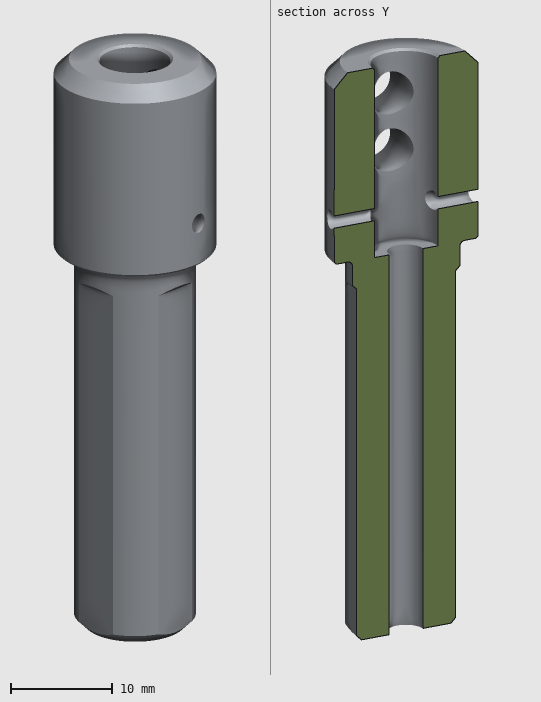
import cadquery as cq

total_length = 60.0
head_radius = 8.01
head_bottom = 40.0
head_top_chamfer = 1.5
head_bottom_chamfer = 0.25
shank_radius = 6.0
shank_end_chamfer = 1.0
neck_fillet = 0.5

flat_distance = 5.5
flat_top = 37.0
flat_cut_depth = 1.2
flat_cut_width = 2 * shank_radius

bore_radius = 7.0 / 2
bore_depth = total_length - head_bottom
bore_chamfer = 0.25
through_radius = 3.7 / 2

pin_diameter = 2.0
pin_offset_y = 0.8
pin_height = 44.5

screw_diameter = 4.5
screw_heights = (55.5, 49.5)


def make_body():
    """Revolve the head and shank with their chamfers and neck fillet."""
    neck_bottom = head_bottom - neck_fillet
    return (
        cq.Workplane("XZ")
        .lineTo(shank_radius - shank_end_chamfer, 0)
        .lineTo(shank_radius, shank_end_chamfer)
        .lineTo(shank_radius, neck_bottom)
        .radiusArc((shank_radius + neck_fillet, head_bottom), neck_fillet)
        .lineTo(head_radius - head_bottom_chamfer, head_bottom)
        .lineTo(head_radius, head_bottom + head_bottom_chamfer)
        .lineTo(head_radius, total_length - head_top_chamfer)
        .lineTo(head_radius - head_top_chamfer, total_length)
        .lineTo(0, total_length)
        .close()
        .revolve(360, (0, 0, 0), (0, 1, 0))
    )


def make_flat_cutter():
    """Material outside the +X flat, sloped at its upper end."""
    outer = flat_distance + flat_cut_depth
    return (
        cq.Workplane("XZ")
        .moveTo(flat_distance, 0)
        .lineTo(outer, 0)
        .lineTo(outer, flat_top + flat_cut_depth)
        .lineTo(flat_distance, flat_top)
        .close()
        .extrude(flat_cut_width / 2, both=True)
    )


def make_bore():
    """Chamfered blind bore followed by a smaller hole through the shank."""
    bore_bottom = total_length - bore_depth
    return (
        cq.Workplane("XZ")
        .lineTo(through_radius, 0)
        .lineTo(through_radius, bore_bottom)
        .lineTo(bore_radius, bore_bottom)
        .lineTo(bore_radius, total_length - bore_chamfer)
        .lineTo(bore_radius + bore_chamfer, total_length)
        .lineTo(0, total_length)
        .close()
        .revolve(360, (0, 0, 0), (0, 1, 0))
    )


def make_pin_hole():
    """Pin hole crossing the whole head, beside the axis."""
    return (
        cq.Workplane("YZ")
        .center(pin_offset_y, pin_height)
        .circle(pin_diameter / 2)
        .extrude(head_radius, both=True)
    )


def make_screw_hole(height):
    """Radial hole from the +Y side of the head to the bore axis."""
    return (
        cq.Workplane("XZ")
        .center(0, height)
        .circle(screw_diameter / 2)
        .extrude(-head_radius)
    )


result = make_body()
flat_cutter = make_flat_cutter()
for angle in (0, 90, 180, 270):
    result = result.cut(flat_cutter.rotate((0, 0, 0), (0, 0, 1), angle))
result = result.cut(make_bore()).cut(make_pin_hole())
for screw_height in screw_heights:
    result = result.cut(make_screw_hole(screw_height))